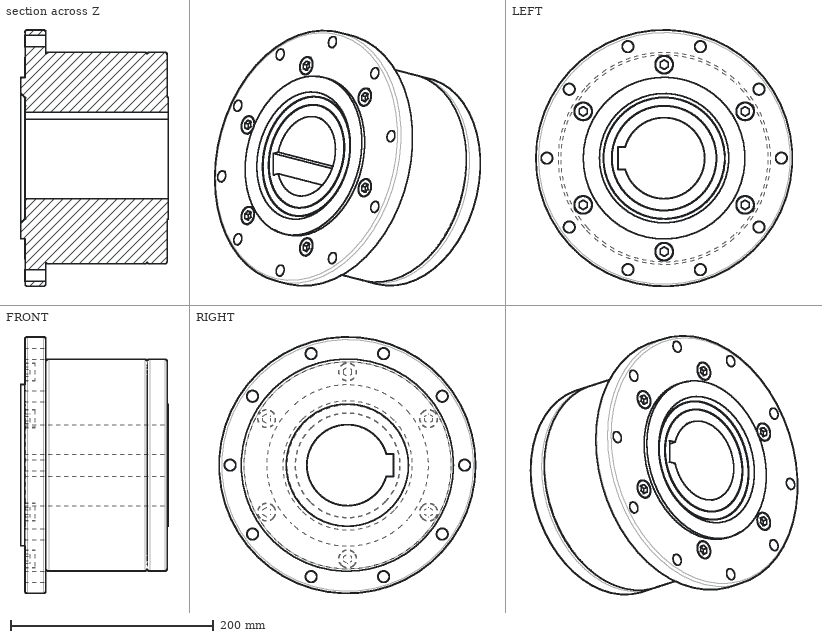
import cadquery as cq
import math

front_boss_length = 4
flange_thickness = 21
body_length = 100
end_cap_length = 20
rear_boss_length = 1

flange_start = front_boss_length
body_start = flange_start + flange_thickness
end_cap_start = body_start + body_length
rear_boss_start = end_cap_start + end_cap_length
total_length = rear_boss_start + rear_boss_length

flange_diameter = 254
body_diameter = 210
front_boss_diameter = 160
rear_boss_diameter = 121
edge_radius = 2.5

bore_diameter = 80
keyway_width = 22
keyway_depth = 5.4
mouth_diameter = 128
mouth_floor_diameter = 120.5
mouth_depth = 4

seam_outer_diameters = (mouth_floor_diameter, 104)
seam_width = 0.4
seam_depth = 0.5

mounting_hole_count = 10
mounting_hole_diameter = 11
mounting_circle_diameter = 232

screw_count = 6
screw_circle_diameter = 185
screw_first_angle = 90
counterbore_diameter = 18
screw_head_diameter = 17
screw_head_height = 10
socket_width = 8
socket_depth = 5


def plane_at(x):
    """Workplane at station x facing +X, with local axes along Y and Z."""
    return cq.Workplane("YZ", origin=(x, 0, 0))


def disc(start, length, diameter):
    return plane_at(start).circle(diameter / 2).extrude(length)


def rounded_disc(start, length, diameter):
    return disc(start, length, diameter).edges().fillet(edge_radius)


def ring(start, length, outer_diameter, inner_diameter):
    return plane_at(start).circle(outer_diameter / 2).circle(inner_diameter / 2).extrude(length)


def outer_shape():
    shape = rounded_disc(flange_start, flange_thickness, flange_diameter)
    shape = shape.union(rounded_disc(body_start, body_length, body_diameter))
    shape = shape.union(rounded_disc(end_cap_start, end_cap_length, body_diameter))
    shape = shape.union(disc(0, flange_start + edge_radius, front_boss_diameter))
    return shape.union(disc(rear_boss_start, rear_boss_length, rear_boss_diameter))


def keyed_bore():
    keyway_reach = bore_diameter / 2 + keyway_depth
    bore = disc(0, total_length, bore_diameter)
    keyway = (
        plane_at(0)
        .center(keyway_reach / 2, 0)
        .rect(keyway_reach, keyway_width)
        .extrude(total_length)
    )
    return bore.union(keyway)


def conical_mouth():
    return (
        plane_at(0)
        .circle(mouth_diameter / 2)
        .workplane(offset=mouth_depth)
        .circle(mouth_floor_diameter / 2)
        .loft()
    )


def mounting_holes():
    return (
        plane_at(flange_start)
        .polarArray(mounting_circle_diameter / 2, 0, 360, mounting_hole_count)
        .circle(mounting_hole_diameter / 2)
        .extrude(flange_thickness)
    )


def screw_positions():
    return plane_at(flange_start).polarArray(
        screw_circle_diameter / 2, screw_first_angle, 360, screw_count
    )


def screw_gaps():
    """Clearance between each screw head and its counterbore."""
    counterbores = screw_positions().circle(counterbore_diameter / 2).extrude(screw_head_height)
    heads = screw_positions().circle(screw_head_diameter / 2).extrude(screw_head_height)
    return counterbores.cut(heads)


def screw_sockets():
    """Hexagon sockets, each with a corner pointing radially outward."""
    corner_diameter = 2 * socket_width / math.sqrt(3)
    return screw_positions().polygon(6, corner_diameter).extrude(socket_depth)


result = outer_shape().cut(conical_mouth()).cut(keyed_bore())
for seam_diameter in seam_outer_diameters:
    result = result.cut(ring(mouth_depth, seam_depth, seam_diameter, seam_diameter - 2 * seam_width))
result = result.cut(mounting_holes()).cut(screw_gaps()).cut(screw_sockets())